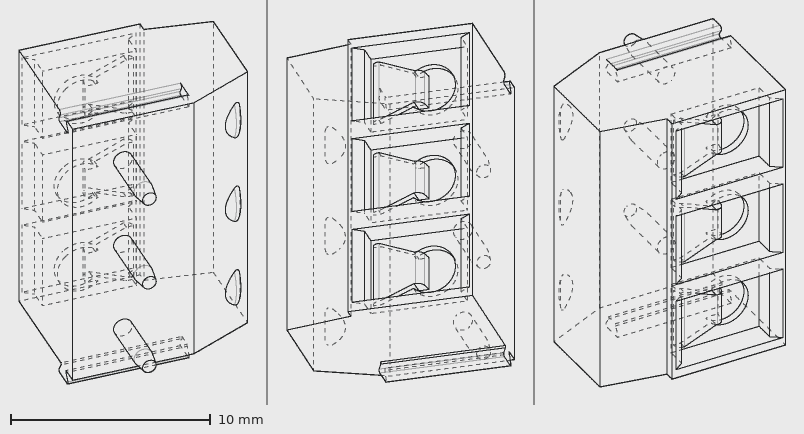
import cadquery as cq


overall_length = 15.93
pole_count = 3
housing_width = 7.5
housing_depth = 10.0
rail_height = 0.7
housing_length = overall_length - rail_height
pole_pitch = housing_length / pole_count
shoulder_y = 6.5
shoulder_step = 0.53
top_start_x = 1.12
top_end_x = 5.9

pocket_low_y = 0.16
pocket_high_y = 6.28
pocket_lead_in = 0.54
lead_in_depth = 0.38
pocket_depth = 1.48
divider_thickness = 1.0
pocket_height = pole_pitch - divider_thickness

hole_y = 2.61
hole_diameter = 2.58
hole_depth = 0.45

leaf_high_y = 5.59
leaf_wide_height = 3.25
leaf_narrow_height = 1.77
leaf_bend_y = 3.36
leaf_tip_y = 2.82
leaf_radius = 0.4
leaf_rise = 0.4

pin_length = 3.7
pin_tip_length = 0.85
pin_diameter = 1.0
pin_tip_diameter = 0.73
pin_y = 2.7

dovetail_x = 6.21
dovetail_half_width = 0.73
rail_neck_half_width = 0.37
rail_neck_height = 0.13
dovetail_slope = (dovetail_half_width - rail_neck_half_width) / (rail_height - rail_neck_height)
dovetail_corner_radius = 0.11
groove_lip_radius = 0.16
groove_mouth_half_width = dovetail_half_width - rail_height * dovetail_slope

screw_edge_x = 6.56
screw_radius = 1.99
screw_top_y = 9.5
screw_edge_radius = 0.35
screw_head_height = 1.6


def make_housing():
    outline = [
        (0, 0),
        (housing_width, 0),
        (housing_width, shoulder_y),
        (top_end_x, housing_depth),
        (top_start_x, housing_depth),
        (shoulder_step, shoulder_y),
        (0, shoulder_y),
    ]
    return cq.Workplane("XY").polyline(outline).close().extrude(housing_length)


def make_pocket(pole_z):
    """Wire entry with lead-in slopes on its two Y sides, and the round hole in its floor."""
    outline = [
        (0, pocket_low_y),
        (lead_in_depth, pocket_low_y + pocket_lead_in),
        (pocket_depth, pocket_low_y + pocket_lead_in),
        (pocket_depth, pocket_high_y - pocket_lead_in),
        (lead_in_depth, pocket_high_y - pocket_lead_in),
        (0, pocket_high_y),
    ]
    pocket = (
        cq.Workplane("XY", origin=(0, 0, pole_z - pocket_height / 2))
        .polyline(outline).close().extrude(pocket_height)
    )
    hole = (
        cq.Workplane("YZ", origin=(pocket_depth, hole_y, pole_z))
        .circle(hole_diameter / 2).extrude(hole_depth)
    )
    return pocket.union(hole)


def make_leaf(pole_z):
    """Tapered leaf, rounded at its wide end and bent down into the hole at its narrow end."""
    face_x = pocket_depth - leaf_rise
    root_x = pocket_depth + hole_depth
    side_outline = [
        (face_x, leaf_bend_y - leaf_radius),
        (face_x, leaf_high_y),
        (root_x, leaf_high_y),
        (root_x, leaf_tip_y),
    ]
    side = (
        cq.Workplane("XY", origin=(0, 0, pole_z - leaf_wide_height / 2))
        .polyline(side_outline).close().extrude(leaf_wide_height)
        .edges("|Z and <X").fillet(leaf_radius)
    )
    taper_start_y = leaf_high_y - leaf_radius
    upper_half = [
        (leaf_tip_y, leaf_narrow_height / 2),
        (leaf_bend_y, leaf_narrow_height / 2),
        (taper_start_y, leaf_wide_height / 2),
        (leaf_high_y, leaf_wide_height / 2),
    ]
    lower_half = [(y, -z) for y, z in reversed(upper_half)]
    plan = (
        cq.Workplane("YZ", origin=(face_x, 0, pole_z))
        .polyline(upper_half + lower_half).close().extrude(root_x - face_x)
    )
    return side.intersect(plan)


def make_pin(pole_z):
    shank_end = pin_length - pin_tip_length
    half_profile = [
        (0, 0),
        (0, pin_diameter / 2),
        (shank_end, pin_diameter / 2),
        (pin_length, pin_tip_diameter / 2),
        (pin_length, 0),
    ]
    return (
        cq.Workplane("XY", origin=(housing_width, pin_y, pole_z))
        .polyline(half_profile).close().revolve(360, (0, 0), (1, 0))
    )


def make_screw_head(pole_z):
    return (
        cq.Workplane("XZ", origin=(screw_edge_x - screw_radius, screw_top_y, pole_z))
        .circle(screw_radius).extrude(screw_head_height)
        .faces(">Y").edges().fillet(screw_edge_radius)
    )


def extrude_dovetail(right_half, base_z):
    """Mirror a half outline about the dovetail centre, extrude it to the shoulder and round its foot."""
    left_half = [(-x, z) for x, z in reversed(right_half)]
    return (
        cq.Workplane("XZ", origin=(dovetail_x, shoulder_y, base_z))
        .polyline(right_half + left_half).close().extrude(shoulder_y)
        .edges("|Y and <Z").fillet(dovetail_corner_radius)
    )


def make_rail():
    right_half = [
        (rail_neck_half_width, 0),
        (rail_neck_half_width, -rail_neck_height),
        (dovetail_half_width, -rail_height),
    ]
    return extrude_dovetail(right_half, 0)


def make_groove():
    """Dovetail cutter; its flange lies above the housing so that the lips can be rounded."""
    flange_half_width = 2 * dovetail_half_width
    flange_height = 0.16
    right_half = [
        (flange_half_width, flange_height),
        (flange_half_width, 0),
        (groove_mouth_half_width, 0),
        (dovetail_half_width, -rail_height),
    ]
    mouth_edges = cq.selectors.BoxSelector(
        (dovetail_x - dovetail_half_width / 2, 0, housing_length - flange_height / 2),
        (dovetail_x + dovetail_half_width / 2, shoulder_y, housing_length + flange_height / 2),
    )
    return (
        extrude_dovetail(right_half, housing_length)
        .edges("|Y").edges(mouth_edges).fillet(groove_lip_radius)
    )


result = make_housing().cut(make_groove()).union(make_rail())
for pole in range(pole_count):
    pole_z = (pole + 0.5) * pole_pitch
    result = result.cut(make_pocket(pole_z))
    for feature in (make_leaf(pole_z), make_pin(pole_z), make_screw_head(pole_z)):
        result = result.union(feature)